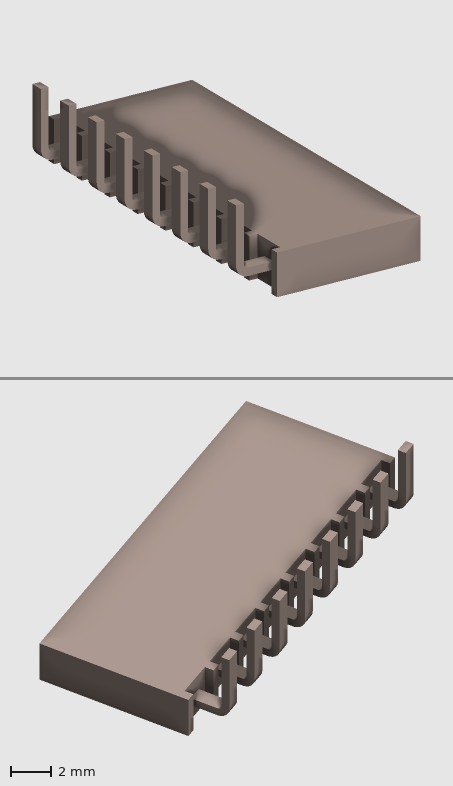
import cadquery as cq

length = 20.83
overall_depth = 10.25
overall_height = 4.95

pin_count = 8
body_depth = 8.55
body_height = 2.42
rib_width = 0.5
recess_depth = 0.5
pitch = (length - rib_width) / pin_count
recess_width = pitch - rib_width

pin_width = 0.8
pin_thickness = 0.45
pin_underside = 0.98
inner_bend_radius = 0.25
outer_bend_radius = inner_bend_radius + pin_thickness
pin_embed = 0.2

pin_front = body_depth - overall_depth
pin_centres = [(i - (pin_count - 1) / 2) * pitch for i in range(pin_count)]


def make_housing():
    """Plain block with one open recess per pin, leaving ribs between them."""
    block = cq.Workplane("XY").box(length, body_depth, body_height, centered=(True, False, False))
    recesses = (
        cq.Workplane("XY")
        .pushPoints([(x, recess_depth / 2) for x in pin_centres])
        .rect(recess_width, recess_depth)
        .extrude(body_height)
    )
    return block.cut(recesses)


def make_pin(x_centre):
    """L-shaped strip leaving the recess floor and turning upward at a rounded bend."""
    root = recess_depth + pin_embed
    pin_top_face = pin_underside + pin_thickness
    pin_back = pin_front + pin_thickness
    bend_y = pin_front + outer_bend_radius
    bend_z = pin_underside + outer_bend_radius
    return (
        cq.Workplane("YZ", origin=(x_centre, 0, 0))
        .moveTo(root, pin_underside)
        .lineTo(bend_y, pin_underside)
        .radiusArc((pin_front, bend_z), outer_bend_radius)
        .lineTo(pin_front, overall_height)
        .lineTo(pin_back, overall_height)
        .lineTo(pin_back, bend_z)
        .radiusArc((bend_y, pin_top_face), -inner_bend_radius)
        .lineTo(root, pin_top_face)
        .close()
        .extrude(pin_width / 2, both=True)
    )


result = make_housing()
for pin_centre in pin_centres:
    result = result.union(make_pin(pin_centre))